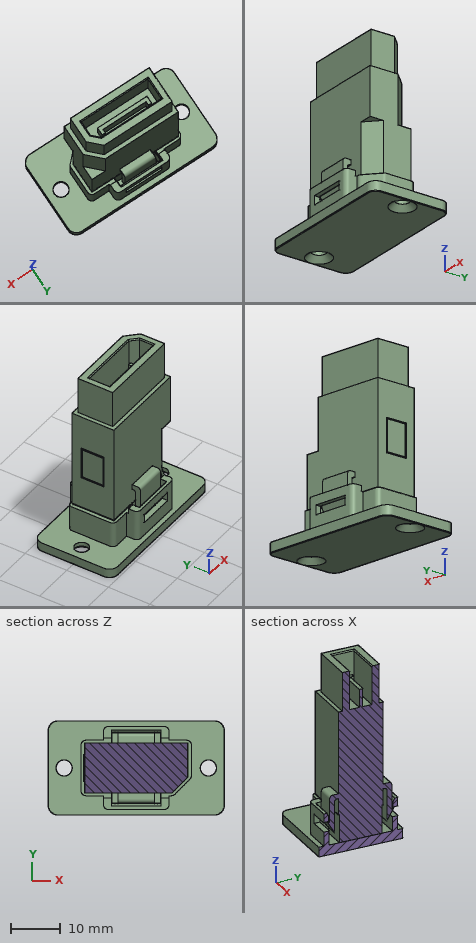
import cadquery as cq

PLATE_LENGTH = 35.5
PLATE_WIDTH = 19.0
PLATE_THICKNESS = 2.3
PLATE_CORNER_RADIUS = 2.02
PLATE_BOTTOM_CHAMFER = 0.15
SCREW_HOLE_DIAMETER = 3.2
SCREW_HOLE_SPACING = 29.05
COUNTERSINK_DEPTH = 1.35

COLLAR_LENGTH = 22.25
COLLAR_WIDTH = 11.18
COLLAR_TOP = 8.4
COLLAR_KEY_CHAMFER = 3.65
COLLAR_CORNER_RADIUS = 1.0
HOUSING_LENGTH = 13.2
HOUSING_WIDTH = 16.73
HOUSING_TOP = 9.55
HOUSING_STEP_WIDTH = 12.05

POCKET_FLOOR = PLATE_THICKNESS
LOWER_POCKET_LENGTH = 9.75
LOWER_POCKET_WIDTH = 14.1
UPPER_POCKET_LENGTH = 10.05
UPPER_POCKET_WIDTH = 14.35
POCKET_MOUTH_WIDTH = 15.23
POCKET_FLARE_DEPTH = 0.75

WINDOW_LENGTH = 8.6
WINDOW_BOTTOM = 5.45
WINDOW_TOP = 7.55

TOTAL_HEIGHT = 40.5
BLOCK_LENGTH = 20.8
BLOCK_WIDTH = 10.12
BLOCK_TOP = 31.8
COLLAR_GAP = 0.15
BLOCK_BOTTOM = COLLAR_TOP + COLLAR_GAP
BLOCK_KEY_CHAMFER = 3.25
KEY_STEP_HEIGHT = 20.4

FOOT_INSET = 0.2

SHROUD_LENGTH = 19.05
SHROUD_WIDTH = 8.4
SHROUD_KEY_CHAMFER = 2.65
CAVITY_LENGTH = 16.05
CAVITY_WIDTH = 4.85
CAVITY_KEY_CHAMFER = 1.55
CAVITY_MOUTH_CHAMFER = 0.25

TONGUE_LENGTH = 11.9
TONGUE_CENTER_X = -0.5
TONGUE_BACK_Y = -0.35
TONGUE_END_Y = 1.35
TONGUE_THICKNESS = 0.85
TONGUE_END_LENGTH = 0.75
TONGUE_HEIGHT = 4.05

ARM_LENGTH = 7.37
ARM_OUTER_Y = LOWER_POCKET_WIDTH / 2
ARM_THICKNESS = 1.17
ARM_TOP = 13.35
ARM_OUTER_RADIUS = 0.75
ARM_INNER_RADIUS = 0.6
ARM_BOTTOM = 4.7
BARB_TOP = 7.37
BARB_REACH = 0.45

BADGE_WIDTH = 5.43
BADGE_BOTTOM = 16.35
BADGE_TOP = 23.8
BADGE_RIM_WIDTH = 0.2
BADGE_RIM_HEIGHT = 0.15


def keyed_prism(length, width, key_chamfer, key_side, bottom, top):
    """Prism centred on Z, with its +X corner cut off at +Y (key_side 1) or -Y (key_side -1)."""
    half_length = length / 2
    half_width = width / 2
    outline = [
        (-half_length, -key_side * half_width),
        (half_length, -key_side * half_width),
        (half_length, key_side * (half_width - key_chamfer)),
        (half_length - key_chamfer, key_side * half_width),
        (-half_length, key_side * half_width),
    ]
    return cq.Workplane("XY").workplane(offset=bottom).polyline(outline).close().extrude(top - bottom)


def centred_box(length, width, bottom, top):
    """Box centred on Z between two heights."""
    return cq.Workplane("XY").workplane(offset=bottom).rect(length, width).extrude(top - bottom)


def make_foot():
    """Keyed foot that fills the middle of the collar."""
    return keyed_prism(
        BLOCK_LENGTH - 2 * FOOT_INSET,
        BLOCK_WIDTH - 2 * FOOT_INSET,
        BLOCK_KEY_CHAMFER,
        -1,
        POCKET_FLOOR,
        BLOCK_BOTTOM,
    )


def make_screw_hole():
    """Through hole with a 90 degree countersink from below."""
    radius = SCREW_HOLE_DIAMETER / 2
    profile = [
        (0, 0),
        (radius + COUNTERSINK_DEPTH, 0),
        (radius, COUNTERSINK_DEPTH),
        (radius, PLATE_THICKNESS),
        (0, PLATE_THICKNESS),
    ]
    return cq.Workplane("XZ").polyline(profile).close().revolve(360, (0, 0), (0, 1))


def make_plate():
    plate = centred_box(PLATE_LENGTH, PLATE_WIDTH, 0, PLATE_THICKNESS)
    plate = plate.edges("|Z").fillet(PLATE_CORNER_RADIUS)
    plate = plate.faces("<Z").edges().chamfer(PLATE_BOTTOM_CHAMFER)
    for side in (-1, 1):
        plate = plate.cut(make_screw_hole().translate((side * SCREW_HOLE_SPACING / 2, 0, 0)))
    return plate


def make_collar():
    """Keyed collar joined to the latch housing, whose middle is stepped down to the collar top."""
    collar = keyed_prism(COLLAR_LENGTH, COLLAR_WIDTH, COLLAR_KEY_CHAMFER, -1, PLATE_THICKNESS, COLLAR_TOP)
    collar = collar.edges("|Z").fillet(COLLAR_CORNER_RADIUS)
    housing = centred_box(HOUSING_LENGTH, HOUSING_WIDTH, PLATE_THICKNESS, HOUSING_TOP)
    housing = housing.edges("|Z").fillet(COLLAR_CORNER_RADIUS)
    step = centred_box(HOUSING_LENGTH, HOUSING_STEP_WIDTH, COLLAR_TOP, HOUSING_TOP)
    return collar.union(housing.cut(step))


def make_latch_pocket():
    """Pocket across the housing, with a small ledge at the window tops and flared outer walls."""
    lower = centred_box(LOWER_POCKET_LENGTH, LOWER_POCKET_WIDTH, POCKET_FLOOR, WINDOW_TOP)
    upper = centred_box(UPPER_POCKET_LENGTH, UPPER_POCKET_WIDTH, WINDOW_TOP, HOUSING_TOP)
    flare_bottom = HOUSING_TOP - POCKET_FLARE_DEPTH
    flare_outline = [
        (-UPPER_POCKET_WIDTH / 2, flare_bottom),
        (UPPER_POCKET_WIDTH / 2, flare_bottom),
        (POCKET_MOUTH_WIDTH / 2, HOUSING_TOP),
        (-POCKET_MOUTH_WIDTH / 2, HOUSING_TOP),
    ]
    flare = cq.Workplane("YZ").polyline(flare_outline).close()
    flare = flare.extrude(UPPER_POCKET_LENGTH / 2, both=True)
    return lower.union(upper).union(flare)


def make_base():
    windows = centred_box(WINDOW_LENGTH, HOUSING_WIDTH, WINDOW_BOTTOM, WINDOW_TOP)
    base = make_plate().union(make_collar())
    return base.cut(make_latch_pocket()).cut(windows).cut(make_foot())


def make_block():
    upper = keyed_prism(BLOCK_LENGTH, BLOCK_WIDTH, BLOCK_KEY_CHAMFER, 1, KEY_STEP_HEIGHT, BLOCK_TOP)
    lower = keyed_prism(BLOCK_LENGTH, BLOCK_WIDTH, BLOCK_KEY_CHAMFER, -1, BLOCK_BOTTOM, KEY_STEP_HEIGHT)
    return upper.union(lower).union(make_foot())


def make_shroud():
    """Keyed tube with a chamfered mouth."""
    shroud = keyed_prism(SHROUD_LENGTH, SHROUD_WIDTH, SHROUD_KEY_CHAMFER, 1, BLOCK_TOP, TOTAL_HEIGHT)
    cavity = keyed_prism(CAVITY_LENGTH, CAVITY_WIDTH, CAVITY_KEY_CHAMFER, 1, BLOCK_TOP, TOTAL_HEIGHT)
    hollow = shroud.cut(cavity)
    reach_x = CAVITY_LENGTH / 2 + CAVITY_MOUTH_CHAMFER
    reach_y = CAVITY_WIDTH / 2 + CAVITY_MOUTH_CHAMFER
    mouth = cq.selectors.BoxSelector((-reach_x, -reach_y, BLOCK_TOP), (reach_x, reach_y, 2 * TOTAL_HEIGHT))
    return hollow.faces(">Z").edges(mouth).chamfer(CAVITY_MOUTH_CHAMFER)


def make_tongue():
    width = TONGUE_END_Y - TONGUE_BACK_Y
    center_y = (TONGUE_END_Y + TONGUE_BACK_Y) / 2
    recess_length = TONGUE_LENGTH - 2 * TONGUE_END_LENGTH
    outer = centred_box(TONGUE_LENGTH, width, BLOCK_TOP, BLOCK_TOP + TONGUE_HEIGHT)
    recess = centred_box(recess_length, width, BLOCK_TOP, BLOCK_TOP + TONGUE_HEIGHT)
    tongue = outer.cut(recess.translate((0, TONGUE_THICKNESS, 0)))
    return tongue.translate((TONGUE_CENTER_X, center_y, 0))


def make_latch_arm():
    """Arm on the +Y side: out from the block, down into the pocket, with a barb for the window."""
    root_y = BLOCK_WIDTH / 2
    inner_y = ARM_OUTER_Y - ARM_THICKNESS
    inner_top = ARM_TOP - ARM_THICKNESS
    outline = [
        (root_y, ARM_TOP),
        (ARM_OUTER_Y, ARM_TOP),
        (ARM_OUTER_Y, BARB_TOP),
        (ARM_OUTER_Y + BARB_REACH, BARB_TOP),
        (inner_y, ARM_BOTTOM),
        (inner_y, inner_top),
        (root_y, inner_top),
    ]
    arm = cq.Workplane("YZ").polyline(outline).close().extrude(ARM_LENGTH / 2, both=True)
    outer_bend = cq.selectors.NearestToPointSelector((0, ARM_OUTER_Y, ARM_TOP))
    inner_bend = cq.selectors.NearestToPointSelector((0, inner_y, inner_top))
    return arm.edges(outer_bend).fillet(ARM_OUTER_RADIUS).edges(inner_bend).fillet(ARM_INNER_RADIUS)


def make_badge_rim():
    height = BADGE_TOP - BADGE_BOTTOM
    return (
        cq.Workplane("YZ", origin=(-BLOCK_LENGTH / 2, 0, (BADGE_TOP + BADGE_BOTTOM) / 2))
        .rect(BADGE_WIDTH, height)
        .rect(BADGE_WIDTH - 2 * BADGE_RIM_WIDTH, height - 2 * BADGE_RIM_WIDTH)
        .extrude(-BADGE_RIM_HEIGHT)
    )


def make_connector():
    connector = make_block().union(make_shroud()).union(make_tongue()).union(make_badge_rim())
    arm = make_latch_arm()
    for side_arm in (arm, arm.mirror("XZ")):
        connector = connector.union(side_arm)
    return connector


base = make_base()
connector = make_connector()

result = cq.Compound.makeCompound([base.val(), connector.val()])